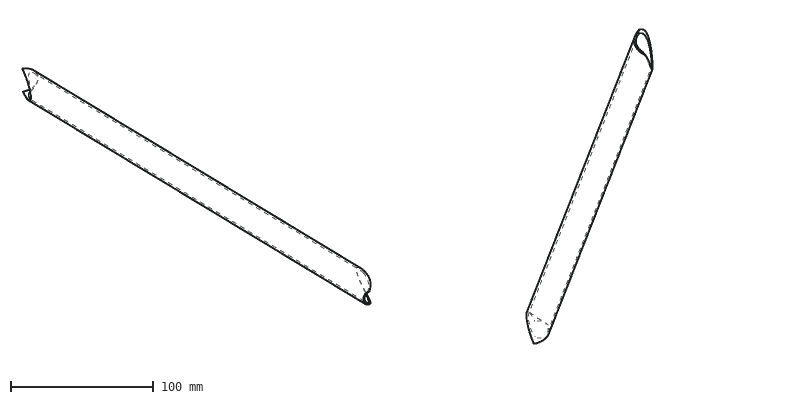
import cadquery as cq
import math

outer_radius = 10.0
wall = 1.5
heading = 27.7
climb = 4.38

lower_radius = outer_radius
lower_heading = -heading
lower_climb = climb

main_radius = 13.9
main_heading = -3.3
main_climb = 4.9
main_distance = 373.3

side_radius = outer_radius
side_heading = 127.0
side_climb = -40.0
side_distance = 366.75
side_offset = -6.7

overrun = 60.0
cutter_length = 200.0


def direction(plan_angle, rise_angle):
    """Unit vector from a plan angle and a rise angle in degrees."""
    plan = math.radians(plan_angle)
    rise = math.radians(rise_angle)
    return cq.Vector(
        math.cos(rise) * math.cos(plan),
        math.cos(rise) * math.sin(plan),
        math.sin(rise),
    )


def rod(radius, centre, axis, length):
    """Solid cylinder of the given length, centred on a point."""
    start = centre - axis * (length / 2)
    return cq.Workplane(cq.Solid.makeCylinder(radius, length, start, axis))


tube_axis = direction(heading, climb)


def tube_stock():
    """Straight tube, longer than the finished part at both ends."""
    centre = tube_axis * (main_distance / 2)
    length = main_distance + 2 * overrun
    outside = rod(outer_radius, centre, tube_axis, length)
    bore = rod(outer_radius - wall, centre, tube_axis, length)
    return outside.cut(bore)


def crossing_tube(radius, distance, plan_angle, rise_angle, offset=0.0):
    """Solid envelope of a tube that crosses this one, its axis set off by a gap if needed."""
    axis = direction(plan_angle, rise_angle)
    common_normal = tube_axis.cross(axis).normalized()
    centre = tube_axis * distance + common_normal * offset
    return rod(radius, centre, axis, cutter_length)


def largest_piece(body):
    """Drop the offcuts that lie beyond the saddles."""
    return cq.Workplane(max(body.solids().vals(), key=lambda piece: piece.Volume()))


lower_saddle = crossing_tube(lower_radius, 0.0, lower_heading, lower_climb)
main_saddle = crossing_tube(main_radius, main_distance, main_heading, main_climb)
side_notch = crossing_tube(side_radius, side_distance, side_heading, side_climb, side_offset)

tube = largest_piece(tube_stock().cut(lower_saddle).cut(main_saddle))
result = largest_piece(tube.cut(side_notch))